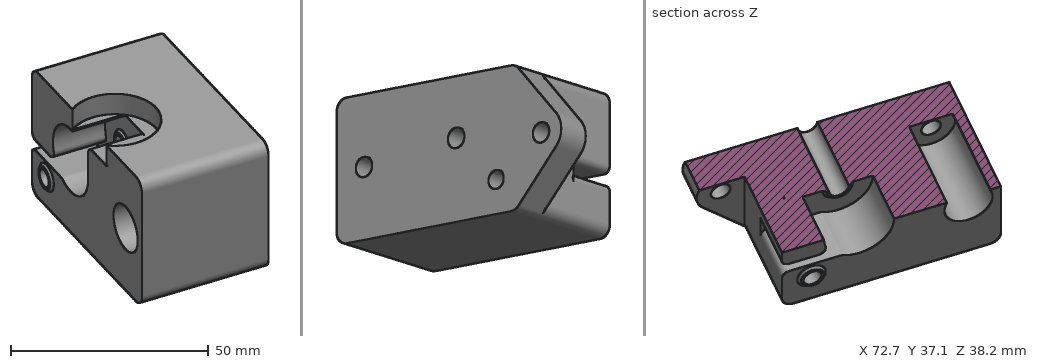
import cadquery as cq
import math


total_length = 72.65
total_depth = 37.1
height = 38.2
corner_radius = 3.3

lug_radius = 6.55
lug_reach = 13.0
lug_thickness = 10.0
screw_hole_diameter = 5.3
head_recess_diameter = 2 * lug_radius
head_recess_x = 50.8

ring_height = 0.7
upper_ring_radius = 4.15
upper_hole_radius = 2.7
lower_ring_radius = 3.85
lower_hole_radius = 2.5
lower_ring_x = 8.1
lower_ring_z = -10.0

cavity_depth = 15.0
bore_radius = 9.5
bore_x = 21.0
bore_z = 2.9
slot_top_z = -2.4
slot_width = 3.0
edge_fillet = 2.0

recess_radius = 11.8
recess_x = 31.2
recess_setback = 7.35
recess_depth = 6.25

depth = total_depth - ring_height
length = total_length - lug_reach
lug_x = lug_radius - lug_reach
cavity_back = depth - cavity_depth
slot_bottom_z = slot_top_z - slot_width
recess_floor_z = height / 2 - recess_depth
opening_left_x = recess_x - math.sqrt(recess_radius**2 - recess_setback**2)
opening_right_x = bore_x + bore_radius


def plane_at(from_back):
    """XZ drawing plane at a distance from the back face, extruding forward."""
    return cq.Workplane("XZ", origin=(0, -from_back, 0))


def rod(x, z, radius, start, end):
    """Cylinder along Y between two distances from the back face."""
    return plane_at(start).center(x, z).circle(radius).extrude(end - start)


def bar(left, right, bottom, top, start, end):
    """Rectangular bar along Y between two distances from the back face."""
    center_x = (left + right) / 2
    center_z = (bottom + top) / 2
    return plane_at(start).center(center_x, center_z).rect(right - left, top - bottom).extrude(end - start)


def make_block():
    block = bar(0, length, -height / 2, height / 2, 0, depth)
    return block.edges("|Y").fillet(corner_radius)


def make_lug():
    """Plate whose sloping sides are tangent to the lug tip and to the block corners."""
    corner_x = corner_radius
    corner_z = height / 2 - corner_radius
    run = corner_x - lug_x
    spacing = math.hypot(run, corner_z)
    normal_angle = math.atan2(corner_z, run) + math.acos((lug_radius - corner_radius) / spacing)
    normal_x = math.cos(normal_angle)
    normal_z = math.sin(normal_angle)

    tip_x = lug_x + lug_radius * normal_x
    tip_z = lug_radius * normal_z
    root_x = corner_x + corner_radius * normal_x
    root_z = corner_z + corner_radius * normal_z
    outline = (
        plane_at(0)
        .moveTo(corner_x, -corner_z)
        .lineTo(root_x, -root_z)
        .lineTo(tip_x, -tip_z)
        .threePointArc((-lug_reach, 0), (tip_x, tip_z))
        .lineTo(root_x, root_z)
        .lineTo(corner_x, corner_z)
        .close()
    )
    return outline.extrude(lug_thickness)


def make_ring(x, z, radius, base):
    """Low raised ring with a 45 degree flank, still without its hole."""
    start = cq.Vector(x, -base, z)
    cone = cq.Solid.makeCone(radius, radius - ring_height, ring_height, start, cq.Vector(0, -1, 0))
    return cq.Workplane(cone)


def cut_cavity(body):
    bore = rod(bore_x, bore_z, bore_radius, cavity_back, depth)
    slot = bar(0, bore_x, slot_bottom_z, slot_top_z, cavity_back, depth)
    opening = bar(opening_left_x, opening_right_x, bore_z, recess_floor_z, cavity_back, depth)
    recess = (
        cq.Workplane("XY", origin=(recess_x, recess_setback - depth, recess_floor_z))
        .circle(recess_radius)
        .extrude(recess_depth)
    )
    return body.cut(bore).cut(slot).cut(opening).cut(recess)


def round_cavity_edges(body):
    """Round the slot mouth, both slot-to-bore edges and the opening's right lip."""
    upper_edge_x = bore_x - math.sqrt(bore_radius**2 - (slot_top_z - bore_z) ** 2)
    lower_edge_x = bore_x - math.sqrt(bore_radius**2 - (slot_bottom_z - bore_z) ** 2)
    edge_places = [
        (0, slot_top_z),
        (0, slot_bottom_z),
        (upper_edge_x, slot_top_z),
        (lower_edge_x, slot_bottom_z),
        (opening_right_x, recess_floor_z),
    ]
    middle_y = -(cavity_back + depth) / 2
    for x, z in edge_places:
        edge = cq.selectors.NearestToPointSelector((x, middle_y, z))
        body = body.edges("|Y").edges(edge).fillet(edge_fillet)
    return body


body = make_block().union(make_lug())
body = round_cavity_edges(cut_cavity(body))

body = body.union(make_ring(bore_x, bore_z, upper_ring_radius, cavity_back))
body = body.union(make_ring(lower_ring_x, lower_ring_z, lower_ring_radius, depth))

through_holes = [
    (lug_x, 0, screw_hole_diameter / 2),
    (head_recess_x, 0, screw_hole_diameter / 2),
    (bore_x, bore_z, upper_hole_radius),
    (lower_ring_x, lower_ring_z, lower_hole_radius),
]
for x, z, radius in through_holes:
    body = body.cut(rod(x, z, radius, 0, total_depth))
body = body.cut(rod(head_recess_x, 0, head_recess_diameter / 2, lug_thickness, depth))

result = body